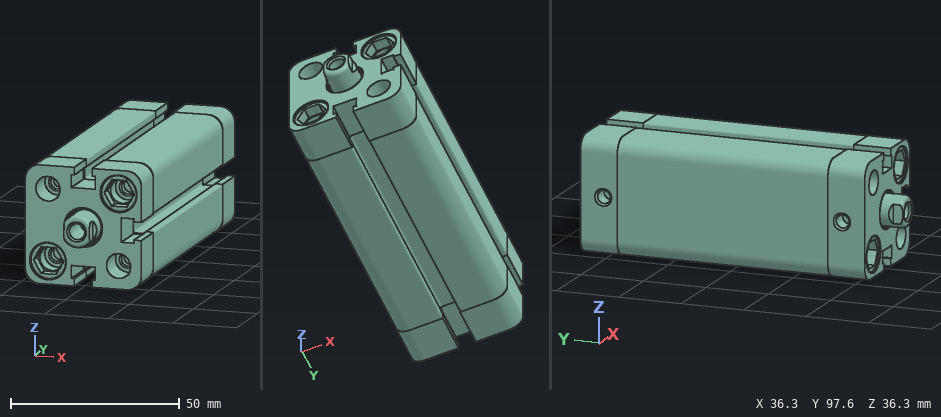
import cadquery as cq

TOTAL_LENGTH = 97.6
WIDTH = 36.3
HALF = WIDTH / 2
ROD_STICKOUT = 6.5
CAP_LENGTH = 11.8
BODY_LENGTH = TOTAL_LENGTH - ROD_STICKOUT
BARREL_LENGTH = BODY_LENGTH - 2 * CAP_LENGTH
CAP_CORNER_RADIUS = 4.5
BARREL_CORNER_RADIUS = 4.8

CAP_FACE_Y = 0.0
BARREL_FRONT_Y = CAP_FACE_Y + CAP_LENGTH
BARREL_REAR_Y = BARREL_FRONT_Y + BARREL_LENGTH
REAR_FACE_Y = CAP_FACE_Y + BODY_LENGTH

SLOT_DEPTH = 6.2
SLOT_LIP = 2.3
SLOT_MOUTH = 5.6
CAP_SLOT_WIDTH = 7.4
BARREL_SLOT_WIDTH = 6.7
BARREL_LIP_ROUND = 0.6
BARREL_SLOT_CORNER = 0.6
SLOT_ANGLES = (0, 90, 180)

THREAD_BORE = 4.1
THREAD_MOUTH = 5.1
PORT_MOUTH = 5.4
PORT_INSET = 7.3
PORT_DEPTH = 5.9

CORNER_OFFSET = 11.0
CORNER_BORE = 7.5
CORNER_BORE_DEPTH = 8.8

RECESS_BORE = 10.9
RECESS_MOUTH = 11.4
RECESS_DEPTH = 0.6
SOCKET_CORNERS = 9.3
SOCKET_BORE = 8.2
SOCKET_DEPTH = 3.9

ROD_DIAMETER = 10.0
ROD_FLATS = 8.0
ROD_FLAT_LENGTH = 3.1
ROD_SHOULDER = (ROD_DIAMETER - ROD_FLATS) / 2
ROD_END_DIAMETER = 7.5
ROD_END_ROUND = (ROD_DIAMETER - ROD_END_DIAMETER) / 2
ROD_THREAD_BORE = 4.9
ROD_THREAD_MOUTH = 6.1
ROD_THREAD_DEPTH = 11.7

WIPER_MOUTH = 12.0
WIPER_BORE = 11.4
WIPER_DEPTH = 1.0
SEAL_MOUTH = 10.9
SEAL_BORE = 10.4
SEAL_DEPTH = 1.5


def along_y(x, y, z):
    """Workplane at the given point whose normal is +Y."""
    return cq.Workplane(cq.Plane(origin=(x, y, z), xDir=(1, 0, 0), normal=(0, 1, 0)))


def square_bar(start_y, length, corner_radius):
    """Square bar along Y with its four long edges rounded."""
    bar = along_y(0, start_y, 0).rect(WIDTH, WIDTH).extrude(length)
    return bar.edges("|Y").fillet(corner_radius)


def t_slot(start_y, length, undercut_width):
    """T-slot cutter in the top side, as a mouth over a wider undercut."""
    undercut_depth = SLOT_DEPTH - SLOT_LIP
    mouth = along_y(0, start_y, HALF - SLOT_DEPTH / 2).rect(SLOT_MOUTH, SLOT_DEPTH).extrude(length)
    undercut_z = HALF - SLOT_DEPTH + undercut_depth / 2
    undercut = along_y(0, start_y, undercut_z).rect(undercut_width, undercut_depth).extrude(length)
    return mouth.union(undercut)


def barrel_slot(start_y, length):
    """Barrel T-slot cutter with rounded floor corners and a mouth that flares over rounded lips."""
    slot = t_slot(start_y, length, BARREL_SLOT_WIDTH)
    slot = slot.edges("|Y and <Z").fillet(BARREL_SLOT_CORNER)
    half_mouth = SLOT_MOUTH / 2
    flare = (
        cq.Workplane("XZ", origin=(0, start_y, 0))
        .moveTo(-half_mouth - BARREL_LIP_ROUND, HALF)
        .radiusArc((-half_mouth, HALF - BARREL_LIP_ROUND), BARREL_LIP_ROUND)
        .lineTo(half_mouth, HALF - BARREL_LIP_ROUND)
        .radiusArc((half_mouth + BARREL_LIP_ROUND, HALF), BARREL_LIP_ROUND)
        .close()
        .extrude(-length)
    )
    return slot.union(flare)


def cut_slots(bar, slot):
    """Cut the slot into the top, +X and bottom sides."""
    for angle in SLOT_ANGLES:
        bar = bar.cut(slot.rotate((0, 0, 0), (0, 1, 0), angle))
    return bar


def countersunk_hole(origin, direction, depth, bore, mouth):
    """Drilled hole cutter with a 45 degree countersink at its mouth."""
    start = cq.Vector(*origin)
    axis = cq.Vector(*direction)
    countersink = (mouth - bore) / 2
    hole = cq.Solid.makeCylinder(bore / 2, depth, start, axis)
    cone = cq.Solid.makeCone(mouth / 2, bore / 2, countersink, start, axis)
    return hole.fuse(cone)


def end_cap(start_y, port_y):
    """Plain end cap with T-slots and one air port."""
    cap = square_bar(start_y, CAP_LENGTH, CAP_CORNER_RADIUS)
    cap = cut_slots(cap, t_slot(start_y, CAP_LENGTH, CAP_SLOT_WIDTH))
    return cap.cut(countersunk_hole((-HALF, port_y, 0), (1, 0, 0), PORT_DEPTH, THREAD_BORE, PORT_MOUTH))


def corner_hole(x, z):
    """Stepped hole cutter: a wide bore whose floor has a smaller tapped hole."""
    bore = along_y(x, CAP_FACE_Y, z).circle(CORNER_BORE / 2).extrude(CORNER_BORE_DEPTH)
    floor = (x, CAP_FACE_Y + CORNER_BORE_DEPTH, z)
    thread_depth = CAP_LENGTH - CORNER_BORE_DEPTH
    thread = countersunk_hole(floor, (0, 1, 0), thread_depth, THREAD_BORE, THREAD_MOUTH)
    return bore.union(cq.Workplane(thread))


def hex_socket(x, z):
    """Shallow round recess cutter with a hexagon socket below it; the socket's bore shaves the flats."""
    recess = countersunk_hole((x, CAP_FACE_Y, z), (0, 1, 0), RECESS_DEPTH, RECESS_BORE, RECESS_MOUTH)
    hexagon = along_y(x, CAP_FACE_Y, z).polygon(6, SOCKET_CORNERS).extrude(SOCKET_DEPTH)
    bore = along_y(x, CAP_FACE_Y, z).circle(SOCKET_BORE / 2).extrude(SOCKET_DEPTH)
    return hexagon.union(bore).union(cq.Workplane(recess))


def front_cap():
    """End cap with the rod bore, its stepped recess and four corner holes, two of them hex sockets."""
    cap = end_cap(CAP_FACE_Y, CAP_FACE_Y + PORT_INSET)
    cap = cap.cut(along_y(0, CAP_FACE_Y, 0).circle(ROD_DIAMETER / 2).extrude(CAP_LENGTH))
    cap = cap.cut(countersunk_hole((0, CAP_FACE_Y, 0), (0, 1, 0), WIPER_DEPTH, WIPER_BORE, WIPER_MOUTH))
    seal_start = (0, CAP_FACE_Y + WIPER_DEPTH, 0)
    cap = cap.cut(countersunk_hole(seal_start, (0, 1, 0), SEAL_DEPTH, SEAL_BORE, SEAL_MOUTH))
    for x_side in (-1, 1):
        for z_side in (-1, 1):
            x = x_side * CORNER_OFFSET
            z = z_side * CORNER_OFFSET
            cap = cap.cut(corner_hole(x, z))
            if x_side == z_side:
                cap = cap.cut(hex_socket(x, z))
    return cap


def barrel():
    """Profile between the two caps."""
    bar = square_bar(BARREL_FRONT_Y, BARREL_LENGTH, BARREL_CORNER_RADIUS)
    return cut_slots(bar, barrel_slot(BARREL_FRONT_Y, BARREL_LENGTH))


def piston_rod():
    """Rod with a rounded end, two wrench flats and a tapped hole."""
    tip_y = CAP_FACE_Y - ROD_STICKOUT
    rod = along_y(0, tip_y, 0).circle(ROD_DIAMETER / 2).extrude(BARREL_FRONT_Y - tip_y)
    rod = rod.faces("<Y").edges().fillet(ROD_END_ROUND)
    flat_x = ROD_FLATS / 2
    outer_x = flat_x + ROD_SHOULDER
    flat_end_y = tip_y + ROD_FLAT_LENGTH
    flat = (
        cq.Workplane("XY")
        .polyline([(flat_x, tip_y), (flat_x, flat_end_y),
                   (outer_x, flat_end_y + ROD_SHOULDER), (outer_x, tip_y)])
        .close()
        .extrude(ROD_DIAMETER / 2, both=True)
    )
    rod = rod.cut(flat).cut(flat.mirror("YZ"))
    tip = (0, tip_y, 0)
    return rod.cut(countersunk_hole(tip, (0, 1, 0), ROD_THREAD_DEPTH, ROD_THREAD_BORE, ROD_THREAD_MOUTH))


front = front_cap()
middle = barrel()
rear = end_cap(BARREL_REAR_Y, REAR_FACE_Y - PORT_INSET)
rod = piston_rod()

result = cq.Compound.makeCompound([front.val(), middle.val(), rear.val(), rod.val()])